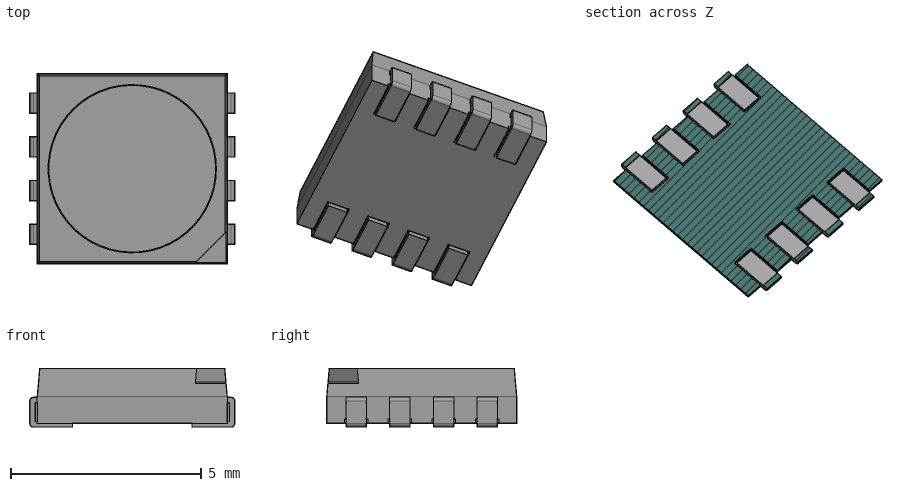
import cadquery as cq


overall_length = 5.4
housing_width = 5.0
overall_height = 1.55
housing_half = housing_width / 2

housing_bottom = 0.1
shoulder_height = 0.81
taper_inset = 0.065

cup_radius = 2.215
lens_drop = 0.02
cup_depth = overall_height - shoulder_height
cup_floor_radius = cup_radius - cup_depth

notch_leg = 0.87
notch_floor = 1.155
pad_thickness = 0.03
pad_top = notch_floor + pad_thickness

leads_per_side = 4
lead_pitch = 1.15
lead_width = 0.535
lead_thickness = 0.15
lead_height = 0.79
lead_bend_radius = 0.1
foot_length = 1.13
lead_half_span = overall_length / 2

pocket_clearance = 0.045
pocket_ceiling = 0.21


def housing_blank():
    """Square block whose upper part tapers inward on all four sides."""
    lower = (
        cq.Workplane("XY", origin=(0, 0, housing_bottom))
        .rect(housing_width, housing_width)
        .extrude(shoulder_height - housing_bottom)
    )
    top_width = housing_width - 2 * taper_inset
    upper = (
        cq.Workplane("XY", origin=(0, 0, shoulder_height))
        .rect(housing_width, housing_width)
        .workplane(offset=overall_height - shoulder_height)
        .rect(top_width, top_width)
        .loft(ruled=True)
    )
    return lower.union(upper)


def corner_prism(half_width, bottom, top):
    """Triangular prism in the +X, -Y corner, its sides at half_width and its long face on the notch wall."""
    leg = notch_leg - 2 * (housing_half - half_width)
    return (
        cq.Workplane("XY", origin=(0, 0, bottom))
        .polyline(
            [
                (half_width, -half_width),
                (half_width, -half_width + leg),
                (half_width - leg, -half_width),
            ]
        )
        .close()
        .extrude(top - bottom)
    )


def corner_notch():
    """Material removed from the pin-one corner."""
    return corner_prism(housing_half, notch_floor, overall_height)


def corner_pad():
    """Thin pad on the notch floor, level with the tapered sides at its top edge."""
    rise = (pad_top - shoulder_height) / (overall_height - shoulder_height)
    return corner_prism(housing_half - taper_inset * rise, notch_floor, pad_top)


def cone_below_rim(drop):
    """Cone filling the cup from its floor up to the given drop below the rim."""
    return (
        cq.Workplane("XZ")
        .polyline(
            [
                (0, shoulder_height),
                (cup_floor_radius, shoulder_height),
                (cup_radius - drop, overall_height - drop),
                (0, overall_height - drop),
            ]
        )
        .close()
        .revolve(360, (0, 0, 0), (0, 1, 0))
    )


def lead(y_center):
    """C-shaped lead on the +X side: arm out of the housing, upright leg, foot turned inward."""
    inner_face = lead_half_span - lead_thickness
    foot_end = lead_half_span - foot_length
    return (
        cq.Workplane("XZ", origin=(0, y_center + lead_width / 2, 0))
        .polyline(
            [
                (foot_end, 0),
                (lead_half_span, 0),
                (lead_half_span, lead_height),
                (housing_half, lead_height),
                (housing_half, lead_height - lead_thickness),
                (inner_face, lead_height - lead_thickness),
                (inner_face, lead_thickness),
                (foot_end, lead_thickness),
            ]
        )
        .close()
        .extrude(lead_width)
        .edges("|Y and >X")
        .fillet(lead_bend_radius)
    )


def foot_pocket(y_center):
    """Underside pocket on the +X side, open at the side wall, that clears one lead foot."""
    inner_end = lead_half_span - foot_length - pocket_clearance
    return (
        cq.Workplane("XY", origin=(inner_end, y_center, housing_bottom))
        .box(
            housing_half - inner_end,
            lead_width + 2 * pocket_clearance,
            pocket_ceiling - housing_bottom,
            centered=(False, True, False),
        )
    )


def make_housing():
    """Housing with its cup, corner notch and eight moulded-in leads."""
    body = housing_blank().cut(corner_notch()).union(corner_pad()).cut(cone_below_rim(0))
    for index in range(leads_per_side):
        y_center = (index - (leads_per_side - 1) / 2) * lead_pitch
        pocket = foot_pocket(y_center)
        pin = lead(y_center)
        body = body.cut(pocket).cut(pocket.mirror("YZ"))
        body = body.union(pin).union(pin.mirror("YZ"))
    return body


def make_lens():
    """Resin lens filling the cup, its flat top just below the rim."""
    return cone_below_rim(lens_drop)


housing = make_housing()
lens = make_lens()

result = cq.Compound.makeCompound([housing.solids().val(), lens.val()])